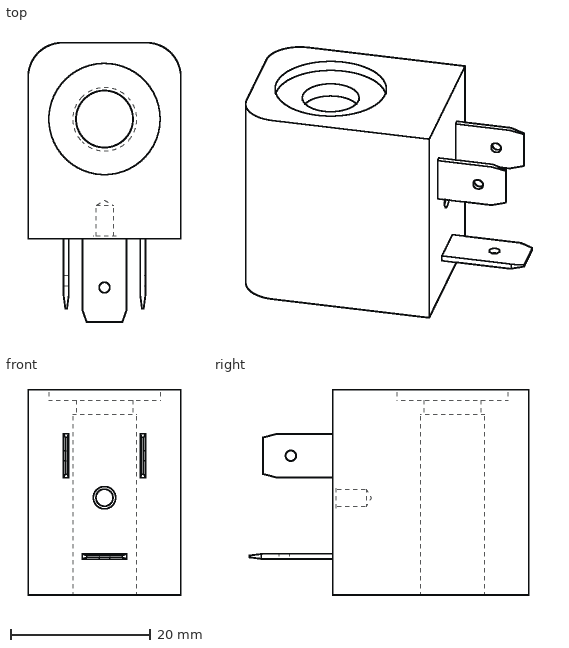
import cadquery as cq
import math

BODY_WIDTH = 22.0
BODY_HEIGHT = 29.5
TOTAL_LENGTH = 40.2
LONG_TERMINAL_LENGTH = 11.98
BODY_LENGTH = TOTAL_LENGTH - LONG_TERMINAL_LENGTH
BACK_CORNER_RADIUS = 5.0

BORE_Y = BODY_LENGTH - BODY_WIDTH / 2
RECESS_DIAMETER = 16.0
RECESS_DEPTH = 1.5
COLLAR_DIAMETER = 8.15
COLLAR_LENGTH = 2.0
BORE_DIAMETER = 9.15

SCREW_Z = 14.0
SCREW_ENTRY_DIAMETER = 3.2
SCREW_ENTRY_DEPTH = 0.5
SCREW_DRILL_DIAMETER = 2.45
SCREW_DRILL_DEPTH = 4.82
DRILL_TIP_ANGLE = 118.0

BLADE_THICKNESS = 0.8
BLADE_TIP_THICKNESS = 0.3
THICKNESS_TAPER = 2.0
BLADE_HOLE_DIAMETER = 1.5
BLADE_ROOT = 0.4

LONG_WIDTH = 6.4
LONG_TIP_WIDTH = 5.15
LONG_WIDTH_TAPER = 1.75
LONG_HOLE_OFFSET = 7.0
LONG_Z = 5.55

SHORT_LENGTH = 10.0
SHORT_WIDTH = 6.3
SHORT_TIP_WIDTH = 5.25
SHORT_WIDTH_TAPER = 2.0
SHORT_HOLE_OFFSET = 6.0
SHORT_X = 5.5
SHORT_Z = 20.0


def make_body():
    """Block with its two vertical back corners rounded."""
    block = cq.Workplane("XY").box(BODY_WIDTH, BODY_LENGTH, BODY_HEIGHT, centered=(True, False, False))
    return block.edges("|Z and >Y").fillet(BACK_CORNER_RADIUS)


def make_stepped_bore():
    """Top recess, narrow collar and wider through bore, as a cutting solid."""
    collar_top = BODY_HEIGHT - RECESS_DEPTH
    collar_bottom = collar_top - COLLAR_LENGTH
    base = cq.Workplane("XY").center(0, BORE_Y)
    bore = base.circle(BORE_DIAMETER / 2).extrude(collar_bottom)
    collar = base.circle(COLLAR_DIAMETER / 2).extrude(BODY_HEIGHT)
    recess = base.workplane(offset=collar_top).circle(RECESS_DIAMETER / 2).extrude(RECESS_DEPTH)
    return bore.union(collar).union(recess)


def make_screw_hole():
    """Counterbored blind hole with a conical drill point, revolved about its axis."""
    entry_radius = SCREW_ENTRY_DIAMETER / 2
    drill_radius = SCREW_DRILL_DIAMETER / 2
    point_depth = drill_radius / math.tan(math.radians(DRILL_TIP_ANGLE / 2))
    profile = (
        cq.Workplane("XY")
        .polyline([
            (0, 0),
            (entry_radius, 0),
            (entry_radius, SCREW_ENTRY_DEPTH),
            (drill_radius, SCREW_ENTRY_DEPTH),
            (drill_radius, SCREW_DRILL_DEPTH),
            (0, SCREW_DRILL_DEPTH + point_depth),
        ])
        .close()
    )
    return profile.revolve(360, (0, 0, 0), (0, 1, 0)).translate((0, 0, SCREW_Z))


def tapered_outline(plane, length, size, tip_size, taper):
    """Closed outline along -Y that is symmetric about the Y axis and narrows at its tip."""
    half = size / 2
    half_tip = tip_size / 2
    return (
        cq.Workplane(plane)
        .polyline([
            (-half, BLADE_ROOT),
            (-half, taper - length),
            (-half_tip, -length),
            (half_tip, -length),
            (half, taper - length),
            (half, BLADE_ROOT),
        ])
        .close()
    )


def make_blade(length, width, tip_width, width_taper, hole_offset):
    """Flat blade in the XY plane, tapered in width and thickness, with a locking hole."""
    flat = tapered_outline("XY", length, width, tip_width, width_taper)
    flat = flat.extrude(BLADE_THICKNESS / 2, both=True)
    edge_plane = cq.Plane(origin=(0, 0, 0), xDir=(0, 0, -1), normal=(1, 0, 0))
    edge = tapered_outline(edge_plane, length, BLADE_THICKNESS, BLADE_TIP_THICKNESS, THICKNESS_TAPER)
    edge = edge.extrude(width / 2, both=True)
    hole = (
        cq.Workplane("XY")
        .center(0, -hole_offset)
        .circle(BLADE_HOLE_DIAMETER / 2)
        .extrude(BLADE_THICKNESS, both=True)
    )
    return flat.intersect(edge).cut(hole)


body = make_body().cut(make_stepped_bore()).cut(make_screw_hole())

long_blade = make_blade(
    LONG_TERMINAL_LENGTH, LONG_WIDTH, LONG_TIP_WIDTH, LONG_WIDTH_TAPER, LONG_HOLE_OFFSET
)
result = body.union(long_blade.translate((0, 0, LONG_Z)))

short_blade = make_blade(
    SHORT_LENGTH, SHORT_WIDTH, SHORT_TIP_WIDTH, SHORT_WIDTH_TAPER, SHORT_HOLE_OFFSET
)
upright_blade = short_blade.rotate((0, 0, 0), (0, 1, 0), 90)
for side in (-1, 1):
    result = result.union(upright_blade.translate((side * SHORT_X, 0, SHORT_Z)))